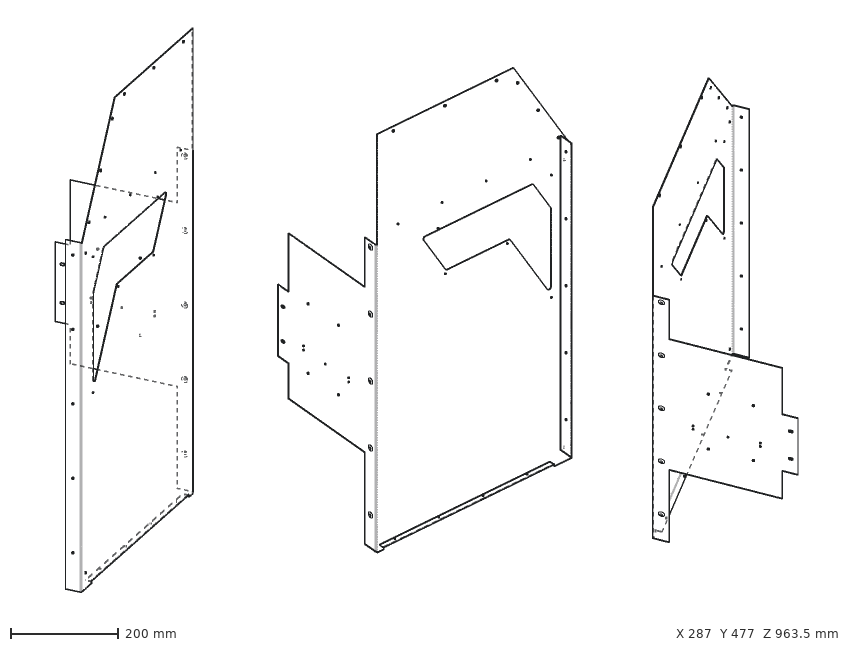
import cadquery as cq
import math

sheet = 2.0
bend_radius = 3.1
height = 963.5
half_width = 477.0 / 2
panel_edge = half_width - bend_radius
slant_angle = math.radians(60)
slope = math.tan(slant_angle)

shoulder_height = 722.0
corner_run = (height - shoulder_height) / slope

window_top = 674.0
window_ledge = 573.0
window_back = 126.0
ledge_front = -87.0
window_front = -187.0
window_front_top = 598.0
window_radius = 5.0

flange_length = 34.0
front_flange_top = 724.0
back_flange_top = 709.0
raised_bottom = 3.0
bottom_flange_length = 13.5
bottom_flange_back = 219.0
bottom_flange_front = -195.0
bottom_bend_top = raised_bottom + bend_radius

wing_tip = -256.0
wing_bottom, wing_top = 214.0, 594.0
tab_tip = -287.0
tab_bottom, tab_top = 295.0, 460.0

small_hole = 3.2
medium_hole = 4.2
large_hole = 5.0
slot_length = 9.0
countersink = 13.0

top_holes = [(-55.0 + 125 * i, 953.0) for i in range(3)]
row_positions = [-137.0 + 107.0 * i for i in range(4)]
row_holes = [(y, 733.0) for y in row_positions]
bottom_flange_holes = [(-11.0, y) for y in row_positions]

slant_pitch = 99.0
slant_holes = [
    (-106.0 - i * slant_pitch * math.cos(slant_angle), 924.0 - i * slant_pitch * math.sin(slant_angle))
    for i in range(3)
]
front_edge_holes = [(-220.0, 33.0), (-220.0, 695.0)]
window_holes = [(-188.0, 392.0), (-188.0, 673.5), (87.0, 678.0), (69.0, 566.0), (-81.0, 566.0)]

side_flange_holes = [(-18.0, 78.0 + 154 * i) for i in range(5)]
wing_corner_holes = [(x, z) for x in (-199.0, -111.0) for z in (303.5, 463.0)]
wing_pair_holes = [(x, z) for x in (-213.0, -81.0) for z in (350.0, 359.0)]
wing_middle_hole = (-149.0, 353.0)
tab_slots = [(-273.0, z) for z in (336.0, 416.0)]


def upright_plane(y):
    """Plane of X and Z at the given y; extruding from it goes towards -Y."""
    return cq.Workplane("XZ", origin=(0, y, 0))


def main_panel():
    outline = [
        (panel_edge, 0),
        (panel_edge, height),
        (corner_run - panel_edge, height),
        (-panel_edge, shoulder_height),
        (-panel_edge, 0),
        (bottom_flange_front, 0),
        (bottom_flange_front, bottom_bend_top),
        (bottom_flange_back, bottom_bend_top),
        (bottom_flange_back, 0),
    ]
    return cq.Workplane("YZ").polyline(outline).close().extrude(-sheet)


def window():
    outline = [
        (window_back, window_top),
        (window_back - (window_top - window_ledge) / slope, window_ledge),
        (ledge_front, window_ledge),
        (window_front, window_ledge - (ledge_front - window_front) * slope),
        (window_front, window_front_top),
        (window_front + (window_top - window_front_top) / slope, window_top),
    ]
    cutter = cq.Workplane("YZ").polyline(outline).close().extrude(-sheet)
    return cutter.edges("|X").fillet(window_radius)


def flange_section(plane, outer_face, inward, length):
    """Closed section of a bend and its flange.

    outer_face is the place of the flange's outer face along the plane's second axis, and
    inward (+1 or -1) is the direction from that face towards the middle of the panel.
    """
    def point(depth, reach):
        return (-reach, outer_face + inward * depth)

    def bend_middle(radius):
        offset = bend_radius - radius * math.sin(math.radians(45))
        return point(offset, offset)

    return (
        plane.moveTo(*point(bend_radius, 0))
        .threePointArc(bend_middle(bend_radius), point(0, bend_radius))
        .lineTo(*point(0, length))
        .lineTo(*point(sheet, length))
        .lineTo(*point(sheet, bend_radius))
        .threePointArc(bend_middle(bend_radius - sheet), point(bend_radius, sheet))
        .close()
    )


def front_flange():
    section = flange_section(cq.Workplane("XY"), -half_width, 1, flange_length)
    return section.extrude(front_flange_top)


def back_flange():
    plane = cq.Workplane("XY", origin=(0, 0, raised_bottom))
    section = flange_section(plane, half_width, -1, flange_length)
    return section.extrude(back_flange_top - raised_bottom)


def bottom_flange():
    section = flange_section(upright_plane(bottom_flange_back), raised_bottom, 1, bottom_flange_length)
    return section.extrude(bottom_flange_back - bottom_flange_front)


def wing():
    outline = [
        (-flange_length, wing_bottom),
        (wing_tip, wing_bottom),
        (wing_tip, tab_bottom),
        (tab_tip, tab_bottom),
        (tab_tip, tab_top),
        (wing_tip, tab_top),
        (wing_tip, wing_top),
        (-flange_length, wing_top),
    ]
    return upright_plane(half_width).polyline(outline).close().extrude(sheet)


def panel_holes(points, diameter):
    return cq.Workplane("YZ").pushPoints(points).circle(diameter / 2).extrude(-sheet)


def wall_holes(outer_y, points, diameter):
    """Holes through an upright wall whose +Y face is at outer_y."""
    return upright_plane(outer_y).pushPoints(points).circle(diameter / 2).extrude(sheet)


def bottom_holes():
    plane = cq.Workplane("XY", origin=(0, 0, raised_bottom))
    return plane.pushPoints(bottom_flange_holes).circle(small_hole / 2).extrude(sheet)


def slots():
    return upright_plane(half_width).pushPoints(tab_slots).slot2D(slot_length, large_hole).extrude(sheet)


def countersunk_hole(x, z):
    """Cone through the back flange, wide on its inner face."""
    return (
        cq.Workplane("XZ", origin=(x, half_width, z))
        .circle(large_hole / 2)
        .workplane(offset=sheet)
        .circle(countersink / 2)
        .loft()
    )


result = main_panel().cut(window())
for flange in (front_flange(), back_flange(), bottom_flange(), wing()):
    result = result.union(flange)

cutters = [
    panel_holes(top_holes + slant_holes, large_hole),
    panel_holes(front_edge_holes, medium_hole),
    panel_holes(row_holes + window_holes, small_hole),
    wall_holes(sheet - half_width, side_flange_holes, medium_hole),
    wall_holes(half_width, wing_corner_holes, medium_hole),
    wall_holes(half_width, wing_pair_holes + [wing_middle_hole], small_hole),
    slots(),
    bottom_holes(),
]
cutters += [countersunk_hole(x, z) for x, z in side_flange_holes]
for cutter in cutters:
    result = result.cut(cutter)